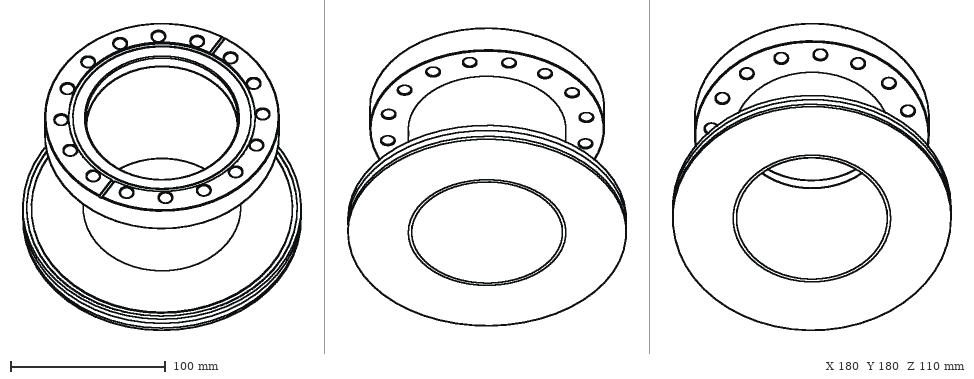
import cadquery as cq

TOTAL_HEIGHT = 110.0
EDGE_CHAMFER = 0.5

CLAMP_RADIUS = 90.0
CLAMP_THICKNESS = 12.0
CLAMP_LOWER_LAND = 2.5
RIM_GROOVE_RADIUS = 2.5
FACE_GROOVE_OUTER_RADIUS = 87.4
FACE_GROOVE_INNER_RADIUS = 84.3
FACE_GROOVE_DEPTH = 0.9

TUBE_OUTER_RADIUS = 50.9
TUBE_WALL = 2.2
TUBE_BORE_RADIUS = TUBE_OUTER_RADIUS - TUBE_WALL
TUBE_TOP_DROP = 11.0

BOLTED_RADIUS = 75.7
BOLTED_THICKNESS = 20.0
BOLTED_BOTTOM = TOTAL_HEIGHT - BOLTED_THICKNESS

RECESS_RADIUS = 60.2
RECESS_DEPTH = 1.6
KNIFE_RADIUS = 57.5
KNIFE_DROP = 0.5
SEAT_DROP = 1.3
FLANGE_BORE_RADIUS = 49.1
BORE_CHAMFER = 0.9

BOLT_COUNT = 16
BOLT_PITCH = 360 / BOLT_COUNT
FIRST_BOLT_ANGLE = -99.0
BOLT_CIRCLE_RADIUS = 65.1
BOLT_HOLE_RADIUS = 4.1
LEAK_GROOVE_WIDTH = 2.2
LEAK_GROOVE_DEPTH = 0.9


def make_clamp_flange():
    groove_bottom = CLAMP_LOWER_LAND
    groove_middle = groove_bottom + RIM_GROOVE_RADIUS
    groove_top = groove_middle + RIM_GROOVE_RADIUS
    face_groove_floor = CLAMP_THICKNESS - FACE_GROOVE_DEPTH
    return (
        cq.Workplane("XZ")
        .moveTo(TUBE_OUTER_RADIUS, 0)
        .lineTo(CLAMP_RADIUS, 0)
        .lineTo(CLAMP_RADIUS, groove_bottom)
        .threePointArc((CLAMP_RADIUS - RIM_GROOVE_RADIUS, groove_middle), (CLAMP_RADIUS, groove_top))
        .lineTo(CLAMP_RADIUS, CLAMP_THICKNESS)
        .lineTo(FACE_GROOVE_OUTER_RADIUS, CLAMP_THICKNESS)
        .lineTo(FACE_GROOVE_OUTER_RADIUS, face_groove_floor)
        .lineTo(FACE_GROOVE_INNER_RADIUS, face_groove_floor)
        .lineTo(FACE_GROOVE_INNER_RADIUS, CLAMP_THICKNESS)
        .lineTo(TUBE_OUTER_RADIUS, CLAMP_THICKNESS)
        .close()
        .revolve(360, (0, 0, 0), (0, 1, 0))
    )


def make_tube():
    return (
        cq.Workplane("XY")
        .circle(TUBE_OUTER_RADIUS)
        .circle(TUBE_BORE_RADIUS)
        .extrude(TOTAL_HEIGHT - TUBE_TOP_DROP)
    )


def make_bolted_flange_blank():
    tube_end = TOTAL_HEIGHT - TUBE_TOP_DROP
    seat = TOTAL_HEIGHT - SEAT_DROP
    recess_floor = TOTAL_HEIGHT - RECESS_DEPTH
    return (
        cq.Workplane("XZ")
        .moveTo(TUBE_OUTER_RADIUS, BOLTED_BOTTOM)
        .lineTo(BOLTED_RADIUS - EDGE_CHAMFER, BOLTED_BOTTOM)
        .lineTo(BOLTED_RADIUS, BOLTED_BOTTOM + EDGE_CHAMFER)
        .lineTo(BOLTED_RADIUS, TOTAL_HEIGHT - EDGE_CHAMFER)
        .lineTo(BOLTED_RADIUS - EDGE_CHAMFER, TOTAL_HEIGHT)
        .lineTo(RECESS_RADIUS, TOTAL_HEIGHT)
        .lineTo(RECESS_RADIUS, recess_floor)
        .lineTo(KNIFE_RADIUS, TOTAL_HEIGHT - KNIFE_DROP)
        .lineTo(KNIFE_RADIUS, seat)
        .lineTo(FLANGE_BORE_RADIUS + BORE_CHAMFER, seat)
        .lineTo(FLANGE_BORE_RADIUS, seat - BORE_CHAMFER)
        .lineTo(FLANGE_BORE_RADIUS, tube_end)
        .lineTo(TUBE_OUTER_RADIUS, tube_end)
        .close()
        .revolve(360, (0, 0, 0), (0, 1, 0))
    )


def make_bolt_hole_cutter():
    mouth_radius = BOLT_HOLE_RADIUS + EDGE_CHAMFER
    return (
        cq.Workplane("XZ")
        .moveTo(0, BOLTED_BOTTOM)
        .lineTo(mouth_radius, BOLTED_BOTTOM)
        .lineTo(BOLT_HOLE_RADIUS, BOLTED_BOTTOM + EDGE_CHAMFER)
        .lineTo(BOLT_HOLE_RADIUS, TOTAL_HEIGHT - EDGE_CHAMFER)
        .lineTo(mouth_radius, TOTAL_HEIGHT)
        .lineTo(0, TOTAL_HEIGHT)
        .close()
        .revolve(360, (0, 0, 0), (0, 1, 0))
    )


def make_leak_groove_cutter():
    start_radius = (KNIFE_RADIUS + RECESS_RADIUS) / 2
    middle_radius = (start_radius + BOLTED_RADIUS) / 2
    return (
        cq.Workplane("XY", origin=(middle_radius, 0, TOTAL_HEIGHT))
        .rect(BOLTED_RADIUS - start_radius, LEAK_GROOVE_WIDTH)
        .extrude(-LEAK_GROOVE_DEPTH)
    )


def make_bolted_flange():
    flange = make_bolted_flange_blank()
    hole = make_bolt_hole_cutter().translate((BOLT_CIRCLE_RADIUS, 0, 0))
    for index in range(BOLT_COUNT):
        flange = flange.cut(hole.rotate((0, 0, 0), (0, 0, 1), index * BOLT_PITCH))
    groove = make_leak_groove_cutter()
    for half_turn in (0, 180):
        flange = flange.cut(groove.rotate((0, 0, 0), (0, 0, 1), BOLT_PITCH / 2 + half_turn))
    return flange.rotate((0, 0, 0), (0, 0, 1), FIRST_BOLT_ANGLE)


clamp_flange = make_clamp_flange()
tube = make_tube()
bolted_flange = make_bolted_flange()

result = cq.Compound.makeCompound([clamp_flange.val(), tube.val(), bolted_flange.val()])